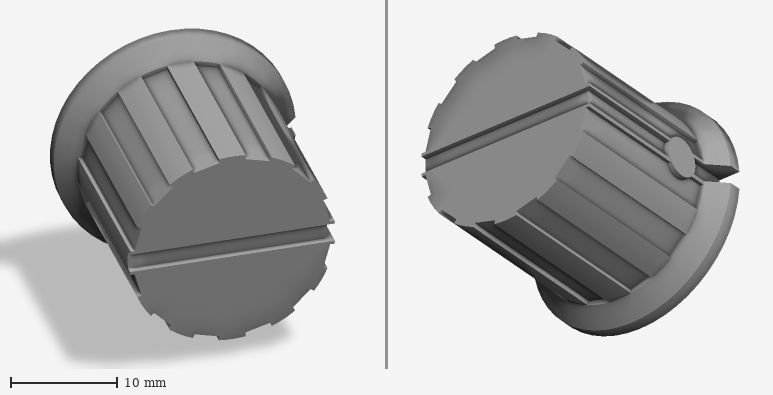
import cadquery as cq
import math

length = 20.65
flange_radius = 11.9
flange_rim = 1.3
flange_thickness = 3.15
body_radius = 10.12

flute_count = 12
flute_depth = 0.43

recess_radius = 6.95
recess_depth = 2.5
bore_radius = 3.2
bore_depth = 15.48

screw_radius = 2.05
screw_x = 6.57

slot_width = 1.9
slot_depth = 0.65


def revolved_blank():
    """Body with a flange that tapers down to the body radius."""
    return (
        cq.Workplane("XY")
        .moveTo(0, 0)
        .lineTo(0, flange_radius)
        .lineTo(flange_rim, flange_radius)
        .lineTo(flange_thickness, body_radius)
        .lineTo(length, body_radius)
        .lineTo(length, 0)
        .close()
        .revolve(360, (0, 0, 0), (1, 0, 0))
    )


def flute_cutters():
    """Flat-bottomed flutes with radial walls, as wide in angle as the lands between them."""
    pitch = 360 / flute_count
    half_angle = math.radians(pitch / 4)
    floor_radius = body_radius - flute_depth
    mouth_radius = body_radius + flute_depth

    def corner(radius, side):
        return (radius * math.cos(half_angle), side * radius * math.sin(half_angle))

    corners = [
        corner(floor_radius, -1),
        corner(mouth_radius, -1),
        corner(mouth_radius, 1),
        corner(floor_radius, 1),
    ]
    cutter = (
        cq.Workplane("YZ", origin=(flange_thickness, 0, 0))
        .polyline(corners)
        .close()
        .extrude(length - flange_thickness)
    )
    cutters = cq.Workplane("YZ")
    for index in range(flute_count):
        angle = (index + 0.5) * pitch
        cutters = cutters.add(cutter.rotate((0, 0, 0), (1, 0, 0), angle))
    return cutters.combine()


def blind_hole(radius, depth):
    """Hole along the knob axis, open at the flange face."""
    return cq.Workplane("YZ").circle(radius).extrude(depth)


def screw_bar(start, end):
    """Round bar on the set-screw axis, between two distances along +Y."""
    return (
        cq.Workplane("XZ", origin=(screw_x, start, 0))
        .circle(screw_radius)
        .extrude(start - end)
    )


def side_slot():
    """Slot along X through the +Y side of the flange and body, leaving a flat floor in the body."""
    floor = body_radius - slot_depth
    return (
        cq.Workplane("XY", origin=(0, floor, 0))
        .box(length, flange_radius - floor, slot_width, centered=(False, False, True))
    )


def end_slot():
    """Slot along Y across the whole +X end face."""
    return (
        cq.Workplane("XY", origin=(length - slot_depth, 0, 0))
        .box(slot_depth, 2 * body_radius, slot_width, centered=(False, True, True))
    )


knob = (
    revolved_blank()
    .cut(flute_cutters())
    .cut(blind_hole(recess_radius, recess_depth))
    .cut(blind_hole(bore_radius, bore_depth))
    .cut(screw_bar(0, body_radius))
    .cut(side_slot())
    .cut(end_slot())
)

result = knob.union(screw_bar(bore_radius, body_radius))